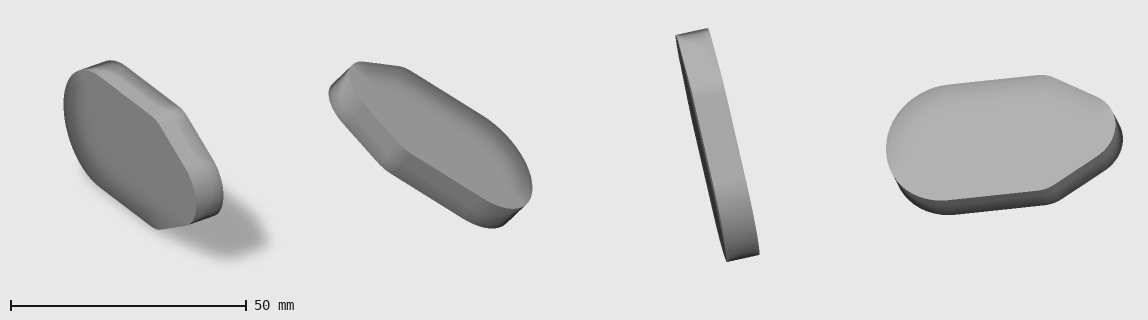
import cadquery as cq
import math

length = 50.0
thickness = 7.0
height = 27.5

tail_radius = 13.5
shoulder_radius = 7.0
nose_radius = 8.25
shoulder_start = 33.0

left = -length / 2
right = length / 2
top = height / 2

tail_x = left + tail_radius
tail_z = top - tail_radius
shoulder_x = left + shoulder_start
shoulder_z = top - shoulder_radius
nose_x = right - nose_radius

run = nose_x - shoulder_x
drop = shoulder_z
flank_angle = math.atan2(drop, run) + math.asin(
    (shoulder_radius - nose_radius) / math.hypot(run, drop)
)


def arc_point(center_x, center_z, radius, angle):
    """Point on an arc, with the angle measured from +Z towards +X."""
    return (center_x + radius * math.sin(angle), center_z + radius * math.cos(angle))


def mirrored(point):
    """Reflect a point across the long centreline."""
    return (point[0], -point[1])


tail_mid = arc_point(tail_x, tail_z, tail_radius, -math.pi / 4)
shoulder_mid = arc_point(shoulder_x, shoulder_z, shoulder_radius, flank_angle / 2)
shoulder_end = arc_point(shoulder_x, shoulder_z, shoulder_radius, flank_angle)
nose_start = arc_point(nose_x, 0, nose_radius, flank_angle)

outline = (
    cq.Workplane("XZ")
    .moveTo(left, tail_z)
    .threePointArc(tail_mid, (tail_x, top))
    .lineTo(shoulder_x, top)
    .threePointArc(shoulder_mid, shoulder_end)
    .lineTo(*nose_start)
    .threePointArc((right, 0), mirrored(nose_start))
    .lineTo(*mirrored(shoulder_end))
    .threePointArc(mirrored(shoulder_mid), (shoulder_x, -top))
    .lineTo(tail_x, -top)
    .threePointArc(mirrored(tail_mid), (left, -tail_z))
    .close()
)

result = outline.extrude(thickness / 2, both=True)